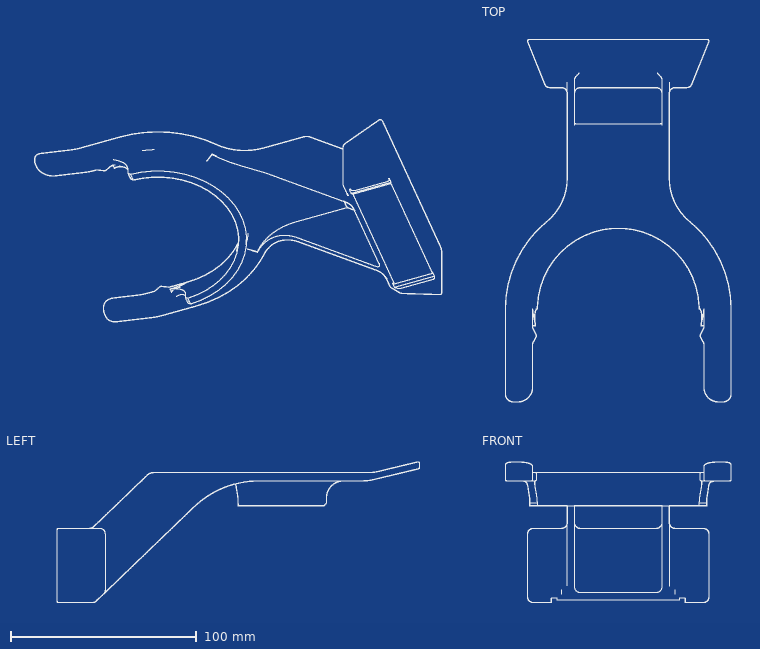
import cadquery as cq
import math


outer_radius = 60.75
inner_radius = 46.0
plate_thickness = 4.6
edge_radius = 0.9
neck_half_width = 27.5
neck_fillet = 30.0
nub_y = -14.3
nub_half_length = 4.2
nub_height = 2.2
nub_fillet = 1.2

tip_y = -50.0
bend_y = -25.2
bend_radius = 23.0
finger_angle = math.radians(13.55)
finger_thickness = 3.8
tip_outer_fillet = 4.5
tip_inner_fillet = 8.0

wall_thickness = 4.0
slope = 0.963
shoulder_y = 95.0
shoulder_radius = 5.0
wall_end_y = 130.0
underside_radius = 50.0
window_y = 99.6
window_corner = 1.0

box_back_y = 145.0
box_front_y = 119.0
box_top_z = -30.0
box_bottom_z = -70.0
box_back_half_width = 49.3
box_side_angle = math.radians(22)
box_fillet = 3.0
back_edge_radius = 1.0
bottom_front_y = 124.7
junction_fillet = 3.0
recess_half_width = 36.0
recess_depth = 1.4
groove_width = 3.0
groove_depth = 2.4

ring_bottom_z = -18.0
ring_lip_z = -13.6
ring_bottom_inner = 43.4
ring_lip_inner = 43.7
ring_top_inner = 45.3
ring_bottom_outer = 47.7
ring_top_outer = 48.7
ring_root_fillet = 3.0
ring_end_fillet = 9.0
ring_end_chamfer = 1.5

flare_distance = outer_radius + neck_fillet
flare_x = neck_half_width + neck_fillet
flare_y = math.sqrt(flare_distance ** 2 - flare_x ** 2)

everywhere = 2 * box_back_y
margin = 0.1


def polar(radius, angle, center_x=0, center_y=0):
    return (center_x + radius * math.cos(angle), center_y + radius * math.sin(angle))


def flare_arc(inset):
    """Middle and end of the flare arc, for an outline set in by the given distance."""
    toward_origin = math.atan2(-flare_y, -flare_x)
    middle_angle = (toward_origin - math.pi) / 2
    middle = polar(neck_fillet + inset, middle_angle, flare_x, flare_y)
    end = polar(neck_fillet + inset, toward_origin, flare_x, flare_y)
    return middle, end


def mirrored_pair(solid):
    return solid.union(solid.mirror("YZ"))


def prism_in_x(profile, half_width):
    """Extrude a YZ profile symmetrically in X."""
    return profile.extrude(half_width, both=True)


def slope_underside_z(y):
    return box_bottom_z + (bottom_front_y - y) * slope


def make_plan():
    """Tall prism of the fork outline, open towards -Y, with nubs inside the arms."""
    flare_mid, flare_end = flare_arc(0)
    arm_mid = polar(outer_radius, math.atan2(flare_end[1], flare_end[0]) / 2)
    inner_mid = polar(inner_radius, math.pi / 4)
    half = (
        cq.Workplane("XY", origin=(0, 0, -everywhere))
        .moveTo(0, wall_end_y)
        .lineTo(neck_half_width, wall_end_y)
        .lineTo(neck_half_width, flare_y)
        .threePointArc(flare_mid, flare_end)
        .threePointArc(arm_mid, (outer_radius, 0))
        .lineTo(outer_radius, tip_y)
        .lineTo(inner_radius, tip_y)
        .lineTo(inner_radius, nub_y - nub_half_length)
        .lineTo(inner_radius - nub_height, nub_y)
        .lineTo(inner_radius, nub_y + nub_half_length)
        .lineTo(inner_radius, 0)
        .threePointArc(inner_mid, (0, inner_radius))
        .close()
        .extrude(2 * everywhere)
    )

    def upright(x, y):
        low = (x - margin, y - margin, -everywhere)
        high = (x + margin, y + margin, everywhere)
        return cq.selectors.BoxSelector(low, high)

    half = half.edges(upright(outer_radius, tip_y)).fillet(tip_outer_fillet)
    half = half.edges(upright(inner_radius, tip_y)).fillet(tip_inner_fillet)
    half = half.edges(upright(inner_radius - nub_height, nub_y)).fillet(nub_fillet)
    for side in (-1, 1):
        half = half.edges(upright(inner_radius, nub_y + side * nub_half_length)).fillet(nub_fillet)
    return mirrored_pair(half)


def make_side_profile():
    """Plate, raised fingers and sloping wall, seen along X, as a wide prism."""
    tip_top = (tip_y, (bend_y - tip_y) * math.tan(finger_angle))
    tip_low = (
        tip_top[0] - finger_thickness * math.sin(finger_angle),
        tip_top[1] - finger_thickness * math.cos(finger_angle),
    )
    under_bend_y = tip_low[0] + (tip_low[1] + plate_thickness) / math.tan(finger_angle)
    corner_y = bottom_front_y - (-plate_thickness - box_bottom_z) / slope
    shoulder_end_z = (shoulder_y - wall_end_y) * slope
    profile = (
        cq.Workplane("YZ")
        .moveTo(*tip_top)
        .lineTo(bend_y, 0)
        .lineTo(shoulder_y, 0)
        .lineTo(wall_end_y, shoulder_end_z)
        .lineTo(wall_end_y, box_bottom_z + box_fillet)
        .lineTo(bottom_front_y, box_bottom_z)
        .lineTo(corner_y, -plate_thickness)
        .lineTo(under_bend_y, -plate_thickness)
        .lineTo(*tip_low)
        .close()
    )
    prism = prism_in_x(profile, 2 * outer_radius)

    def bend(y, z):
        low = (-everywhere, y - margin, z - margin)
        high = (everywhere, y + margin, z + margin)
        return cq.selectors.BoxSelector(low, high)

    prism = prism.edges(bend(bend_y, 0)).fillet(bend_radius)
    prism = prism.edges(bend(under_bend_y, -plate_thickness)).fillet(bend_radius)
    prism = prism.edges(bend(shoulder_y, 0)).fillet(shoulder_radius)
    return prism.edges(bend(corner_y, -plate_thickness)).fillet(underside_radius)


def make_cavity():
    """Space between the walls: under the plate, and open upwards behind its back end."""
    depth = -box_bottom_z
    inside = neck_half_width - wall_thickness
    flare_mid, flare_end = flare_arc(wall_thickness)
    ring_end = polar(ring_bottom_outer, math.atan2(flare_y, flare_x))
    under = (
        cq.Workplane("XY", origin=(0, 0, -plate_thickness))
        .moveTo(inside, box_front_y)
        .lineTo(inside, flare_y)
        .threePointArc(flare_mid, flare_end)
        .lineTo(*ring_end)
        .threePointArc((0, ring_bottom_outer), (-ring_end[0], ring_end[1]))
        .lineTo(-flare_end[0], flare_end[1])
        .threePointArc((-flare_mid[0], flare_mid[1]), (-inside, flare_y))
        .lineTo(-inside, box_front_y)
        .close()
        .extrude(-depth)
    )
    window = (
        cq.Workplane("XY")
        .center(0, (window_y + wall_end_y) / 2)
        .rect(2 * inside, wall_end_y - window_y)
        .extrude(-depth)
        .edges("|Z and <Y")
        .fillet(window_corner)
    )
    return under.union(window)


def make_box():
    """Box with slanted sides whose lower front is cut along the underside of the walls."""
    front_half_width = box_back_half_width - (box_back_y - box_front_y) * math.tan(box_side_angle)
    block = (
        cq.Workplane("XY", origin=(0, 0, box_bottom_z))
        .moveTo(-box_back_half_width, box_back_y)
        .lineTo(box_back_half_width, box_back_y)
        .lineTo(front_half_width, box_front_y)
        .lineTo(-front_half_width, box_front_y)
        .close()
        .extrude(box_top_z - box_bottom_z)
    )
    below_slope = prism_in_x(
        cq.Workplane("YZ")
        .moveTo(bottom_front_y, box_bottom_z)
        .lineTo(box_front_y, slope_underside_z(box_front_y))
        .lineTo(box_front_y, box_bottom_z)
        .close(),
        box_back_half_width,
    )
    block = block.cut(below_slope)
    block = block.edges("not >Y").fillet(box_fillet)
    return block.faces(">Y").edges().fillet(back_edge_radius)


def make_ring():
    """Tapered half ring whose ends flare forward into the underside of the arms."""
    full = (
        cq.Workplane("XZ")
        .moveTo(inner_radius, -edge_radius)
        .lineTo(ring_top_inner, -plate_thickness)
        .lineTo(ring_lip_inner, ring_lip_z)
        .lineTo(ring_bottom_inner, ring_bottom_z)
        .lineTo(ring_bottom_outer, ring_bottom_z)
        .lineTo(ring_bottom_outer, ring_lip_z)
        .lineTo(ring_top_outer, -plate_thickness - ring_root_fillet)
        .radiusArc((ring_top_outer + ring_root_fillet, -plate_thickness), ring_root_fillet)
        .lineTo(ring_top_outer + ring_root_fillet, -edge_radius)
        .close()
        .revolve(360, (0, 0, 0), (0, 1, 0))
    )
    far = outer_radius
    keep = (
        cq.Workplane("YZ")
        .moveTo(far, -edge_radius)
        .lineTo(far, ring_bottom_z)
        .lineTo(ring_end_chamfer, ring_bottom_z)
        .lineTo(0, ring_bottom_z + ring_end_chamfer)
        .lineTo(0, -plate_thickness - ring_end_fillet)
        .radiusArc((-ring_end_fillet, -plate_thickness), -ring_end_fillet)
        .lineTo(0, -edge_radius)
        .close()
    )
    return full.intersect(prism_in_x(keep, far))


def make_heel():
    """Sharp-edged foot of the box, under and between the walls."""
    top_z = slope_underside_z(box_front_y) + box_fillet
    profile = (
        cq.Workplane("YZ")
        .moveTo(bottom_front_y, box_bottom_z)
        .lineTo(box_front_y, slope_underside_z(box_front_y))
        .lineTo(box_front_y, top_z)
        .lineTo(wall_end_y, top_z)
        .lineTo(wall_end_y, box_bottom_z)
        .close()
    )
    return prism_in_x(profile, neck_half_width + junction_fillet)


def make_bottom_recess():
    """Shallow recess along the underside of the box, deeper in a groove at each side."""

    def channel(center_x, width, depth):
        return (
            cq.Workplane("XY", origin=(center_x, 0, box_bottom_z))
            .rect(width, 2 * everywhere)
            .extrude(depth)
        )

    recess = channel(0, 2 * recess_half_width, recess_depth)
    for side in (-1, 1):
        groove_x = side * (recess_half_width - groove_width / 2)
        recess = recess.union(channel(groove_x, groove_width, groove_depth))
    return recess


def blend_walls_into_box(bracket):
    """Round the inside corners where each wall meets the front and top of the box."""
    half_span = wall_thickness / 2 + margin
    for side in (-1, 1):
        wall_x = side * (neck_half_width - wall_thickness / 2)
        corner = cq.selectors.BoxSelector(
            (wall_x - half_span, box_front_y - margin, slope_underside_z(box_front_y)),
            (wall_x + half_span, wall_end_y, box_top_z + margin),
        )
        bracket = bracket.edges(corner).fillet(junction_fillet)
    return bracket


def round_rims(bracket):
    """Round the upper and lower rims, each one smooth chain from wall to wall around the fork."""
    for z in (0, -plate_thickness):
        rim_start = cq.selectors.BoxSelector(
            (outer_radius - margin, bend_y, z - margin),
            (outer_radius + margin, 0, z + margin),
        )
        bracket = bracket.edges(rim_start).fillet(edge_radius)
    return bracket


bracket = make_plan().intersect(make_side_profile()).cut(make_cavity())
bracket = bracket.union(make_box()).union(make_heel())
bracket = round_rims(blend_walls_into_box(bracket))
result = bracket.union(make_ring()).cut(make_bottom_recess())